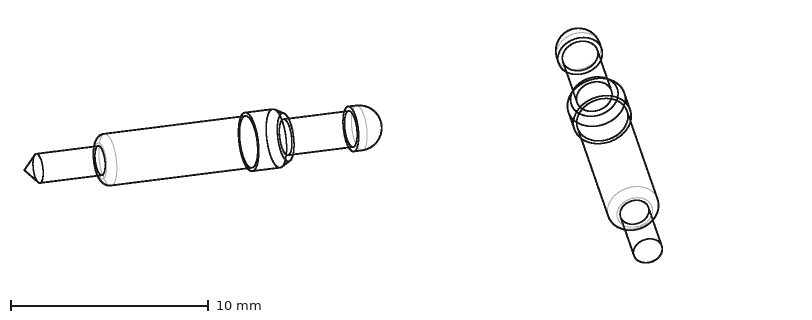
import cadquery as cq


tail_diameter = 1.5
barrel_diameter = 2.65
collar_diameter = 3.0
plunger_diameter = 1.85
head_diameter = 2.3

tail_cone_length = tail_diameter / 2
tail_shank_length = 3.35
barrel_length = 8.0
collar_length = 2.0
plunger_length = 3.51
head_length = 1.6

barrel_end_radius = 0.4
collar_bevel_length = 0.5
collar_bevel_depth = 0.27

shank_start = tail_cone_length
barrel_start = shank_start + tail_shank_length
collar_start = barrel_start + barrel_length
plunger_start = collar_start + collar_length
head_start = plunger_start + plunger_length
head_top = head_start + head_length


def cylinder(diameter, start, length):
    """Solid cylinder on the Y axis, reaching from start toward +Y."""
    return cq.Workplane("XZ", origin=(0, start, 0)).circle(diameter / 2).extrude(-length)


def make_tail():
    """Solder tail with a conical point."""
    radius = tail_diameter / 2
    return (
        cq.Workplane("XY")
        .lineTo(radius, shank_start)
        .lineTo(radius, barrel_start)
        .lineTo(0, barrel_start)
        .close()
        .revolve(360, (0, 0, 0), (0, 1, 0))
    )


def make_barrel():
    """Barrel with a rounded edge on the tail side."""
    blank = cylinder(barrel_diameter, barrel_start, barrel_length)
    return blank.faces("<Y").edges().fillet(barrel_end_radius)


def make_collar():
    """Press-fit collar, bevelled on the plunger side."""
    radius = collar_diameter / 2
    bevel_start = plunger_start - collar_bevel_length
    return (
        cq.Workplane("XY")
        .moveTo(0, collar_start)
        .lineTo(radius, collar_start)
        .lineTo(radius, bevel_start)
        .lineTo(radius - collar_bevel_depth, plunger_start)
        .lineTo(0, plunger_start)
        .close()
        .revolve(360, (0, 0, 0), (0, 1, 0))
    )


def make_head():
    """Plunger head: a short cylinder capped by a hemisphere."""
    radius = head_diameter / 2
    dome_start = head_top - radius
    rim = cylinder(head_diameter, head_start, dome_start - head_start)
    dome = (
        cq.Workplane("XY")
        .moveTo(0, dome_start)
        .lineTo(radius, dome_start)
        .radiusArc((0, head_top), -radius)
        .close()
        .revolve(360, (0, 0, 0), (0, 1, 0))
    )
    return rim.union(dome)


plunger = cylinder(plunger_diameter, plunger_start, plunger_length)

result = make_tail().union(make_barrel()).union(make_collar()).union(plunger).union(make_head())